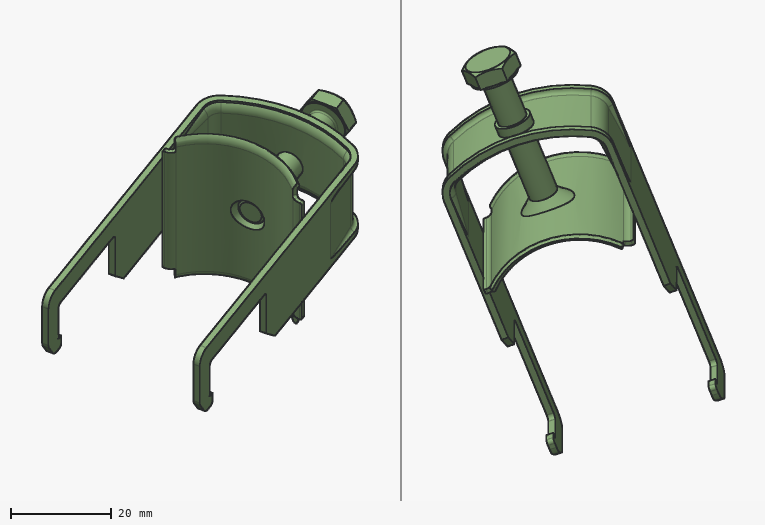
import cadquery as cq
import math


WIDTH = 36.0
SHEET = 1.5
STRIP = 20.0
STRIP_TOP = 12.8
STRIP_BOTTOM = STRIP_TOP - STRIP
STRIP_MIDDLE = STRIP_TOP - STRIP / 2
DOME_R = 33.6
CORNER_R = 5.3
LEG_END = -72.1

BEAD_DEPTH = 1.0
BEAD_LIP = 1.5
BEAD_END = -18.3
BEAD_HALF = STRIP / 2 - BEAD_LIP

SLOT_START = -44.65
SLOT_END = -67.9
SLOT_TOP = 7.7
SLOT_R = 1.0
HOOK_R = 2.8
HOOK_BOTTOM = -4.5
HOOK_SLANT_TOP = -0.5
HOOK_SLANT_ANGLE = 30
HOOK_TIP_R = 2.0
LIP_LENGTH = 1.1
LIP_TOP = -1.7
LIP_R = 0.9
LEG_CHAMFER = 3.5

BOLT_D = 6.0
HEAD_TOP = 15.1
HEAD_HEIGHT = 3.6
HEAD_FLATS = 9.9
HEAD_TOP_D = 9.5
HEAD_CONE_ANGLE = 30
WASHER_FACE_D = 10.0
WASHER_FACE_HEIGHT = 0.4
COLLAR_D = 7.5
COLLAR_TOP = 1.0
TIP_D = 5.0
TIP_Y = -18.7
TIP_TAPER = 0.3
NECK_R = 0.35

SADDLE_R = 18.0
SADDLE_SHEET = 1.0
SADDLE_Y = -19.5
SADDLE_ANGLE = 47.8
SADDLE_HALF = 19.23
SADDLE_AXIS_Y = SADDLE_Y - SADDLE_R
RIM_R = 2 * SADDLE_SHEET
RIM_ANGLE = 60
TAB_HALF = 16.0
TAB_REACH = 16.0
TAB_BEND_R = 1.8
PLATE_CORNER_R = 0.5
FLARE_TOP = -16.75
FLARE_SLOPE = 1.0
RECESS_D = 7.2

MARGIN = 4.4


def bridge_outline(inset, leg_y, leg_inset):
    """Open wire along the bridge, `inset` inside the outer face, with a leg down to `leg_y` each side."""
    corner_x = WIDTH / 2 - CORNER_R
    dome_y = -DOME_R
    corner_y = dome_y + math.sqrt((DOME_R - CORNER_R) ** 2 - corner_x ** 2)
    lean = math.asin(corner_x / (DOME_R - CORNER_R))
    bend = CORNER_R - inset
    turn = (lean + math.pi / 2) / 2
    side_x = WIDTH / 2 - inset
    bend_mid = (corner_x + bend * math.sin(turn), corner_y + bend * math.cos(turn))
    bend_top = (corner_x + bend * math.sin(lean), corner_y + bend * math.cos(lean))
    leg_x = WIDTH / 2 - leg_inset
    return (
        cq.Workplane("XY")
        .moveTo(-leg_x, leg_y)
        .lineTo(-side_x, corner_y)
        .threePointArc((-bend_mid[0], bend_mid[1]), (-bend_top[0], bend_top[1]))
        .threePointArc((0, -inset), bend_top)
        .threePointArc(bend_mid, (side_x, corner_y))
        .lineTo(leg_x, leg_y)
    )


def filled_bridge(inset):
    """Everything enclosed by the strip at `inset`, over the width of the strip."""
    outline = bridge_outline(inset, LEG_END, inset)
    return outline.close().extrude(STRIP).translate((0, 0, STRIP_BOTTOM))


def bead_form(face_inset, floor_r):
    """Tool outside the face of the bead that starts from the sheet face at `face_inset`."""
    half = BEAD_HALF - BEAD_DEPTH + floor_r
    far_x = WIDTH / 2 + MARGIN
    form = (
        bridge_outline(face_inset + BEAD_DEPTH, BEAD_END, face_inset)
        .lineTo(far_x, BEAD_END)
        .lineTo(far_x, MARGIN)
        .lineTo(-far_x, MARGIN)
        .lineTo(-far_x, BEAD_END)
        .close()
        .extrude(half, both=True)
    )
    near_x = WIDTH / 2 + 0.1
    floor_edges = cq.Workplane("XY")
    for side in (-half, half):
        picker = cq.selectors.BoxSelector(
            (-near_x, BEAD_END - 0.1, side - 0.1), (near_x, 0.1, side + 0.1), boundingbox=True
        )
        floor_edges = floor_edges.add(form.edges(picker))
    rounded = form.val().fillet(floor_r, floor_edges.vals())
    return cq.Workplane(rounded).translate((0, 0, STRIP_MIDDLE))


def leg_profile():
    """Side outline of the bracket, hooks included, as a block across the whole width."""
    slant = (HOOK_SLANT_TOP - HOOK_BOTTOM) * math.tan(math.radians(HOOK_SLANT_ANGLE))
    lip_y = SLOT_END + LIP_LENGTH
    hook_corner = (LEG_END, STRIP_TOP)
    slant_top = (LEG_END, HOOK_SLANT_TOP)
    slant_bottom = (LEG_END + slant, HOOK_BOTTOM)
    lip_corner = (lip_y, HOOK_BOTTOM)
    slot_outer = (SLOT_END, SLOT_TOP)
    slot_inner = (SLOT_START, SLOT_TOP)
    block = (
        cq.Workplane("YZ")
        .polyline([
            (MARGIN, STRIP_TOP),
            hook_corner,
            slant_top,
            slant_bottom,
            lip_corner,
            (lip_y, LIP_TOP),
            (SLOT_END, LIP_TOP),
            slot_outer,
            slot_inner,
            (SLOT_START, STRIP_BOTTOM + LEG_CHAMFER),
            (SLOT_START + LEG_CHAMFER, STRIP_BOTTOM),
            (MARGIN, STRIP_BOTTOM),
        ])
        .close()
        .extrude(WIDTH, both=True)
    )
    rounds = [
        (hook_corner, HOOK_R),
        (slant_top, HOOK_TIP_R),
        (slant_bottom, HOOK_TIP_R),
        (lip_corner, LIP_R),
        (slot_outer, SLOT_R),
        (slot_inner, SLOT_R),
    ]
    for (y, z), radius in rounds:
        block = block.edges(cq.selectors.NearestToPointSelector((0, y, z))).fillet(radius)
    return block


def cylinder_y(diameter, y_low, y_high):
    """Round bar on the bolt axis between two heights."""
    return cq.Workplane("XZ", origin=(0, y_high, 0)).circle(diameter / 2).extrude(y_high - y_low)


def make_bracket():
    envelope = filled_bridge(0)
    strip = envelope.cut(filled_bridge(SHEET))
    ridge = bead_form(SHEET, BEAD_DEPTH + SHEET).intersect(envelope)
    groove = bead_form(0, BEAD_DEPTH)
    bracket = strip.union(ridge).cut(groove).intersect(leg_profile())
    collar = cylinder_y(COLLAR_D, -BEAD_DEPTH - SHEET / 2, COLLAR_TOP)
    bore = cylinder_y(BOLT_D, -MARGIN, MARGIN)
    return bracket.union(collar).cut(bore)


def make_head_cone():
    """Cone that trims the top corners of the hexagon."""
    hex_bottom = HEAD_TOP - HEAD_HEIGHT
    bottom_r = HEAD_TOP_D / 2 + HEAD_HEIGHT / math.tan(math.radians(HEAD_CONE_ANGLE))
    return (
        cq.Workplane("XY")
        .polyline([(0, HEAD_TOP), (HEAD_TOP_D / 2, HEAD_TOP), (bottom_r, hex_bottom), (0, hex_bottom)])
        .close()
        .revolve(360, (0, 0, 0), (0, 1, 0))
    )


def make_bolt():
    hex_bottom = HEAD_TOP - HEAD_HEIGHT
    head = (
        cq.Workplane("XZ", origin=(0, HEAD_TOP, 0))
        .polygon(6, HEAD_FLATS, circumscribed=True)
        .extrude(HEAD_HEIGHT)
        .rotate((0, 0, 0), (0, 1, 0), 30)
    )
    neck_y = hex_bottom - WASHER_FACE_HEIGHT
    washer_face = cylinder_y(WASHER_FACE_D, neck_y, hex_bottom)
    shank = cylinder_y(BOLT_D, TIP_Y, hex_bottom)
    shank = shank.faces("<Y").chamfer(TIP_TAPER, (BOLT_D - TIP_D) / 2)
    bolt = head.intersect(make_head_cone()).union(washer_face).union(shank)
    neck = cq.selectors.BoxSelector(
        (-BOLT_D, neck_y - NECK_R / 2, -BOLT_D), (BOLT_D, neck_y + NECK_R / 2, BOLT_D), boundingbox=True
    )
    return bolt.edges(neck).edges(cq.selectors.RadiusNthSelector(0)).fillet(NECK_R)


def make_saddle_plate():
    """Curved plate whose two ends along Z are rolled outward."""
    roll_z = SADDLE_HALF - RIM_R * math.sin(math.radians(RIM_ANGLE))
    inner_roll = RIM_R - SADDLE_SHEET

    def roll_point(radius, degrees, side):
        angle = math.radians(degrees)
        across = SADDLE_R + RIM_R - radius * math.cos(angle)
        return (across, side * (roll_z + radius * math.sin(angle)))

    section = (
        cq.Workplane("XZ")
        .moveTo(*roll_point(RIM_R, 0, -1))
        .lineTo(*roll_point(RIM_R, 0, 1))
        .threePointArc(roll_point(RIM_R, RIM_ANGLE / 2, 1), roll_point(RIM_R, RIM_ANGLE, 1))
        .lineTo(*roll_point(inner_roll, RIM_ANGLE, 1))
        .threePointArc(roll_point(inner_roll, RIM_ANGLE / 2, 1), roll_point(inner_roll, 0, 1))
        .lineTo(*roll_point(inner_roll, 0, -1))
        .threePointArc(roll_point(inner_roll, RIM_ANGLE / 2, -1), roll_point(inner_roll, RIM_ANGLE, -1))
        .lineTo(*roll_point(RIM_R, RIM_ANGLE, -1))
        .threePointArc(roll_point(RIM_R, RIM_ANGLE / 2, -1), roll_point(RIM_R, 0, -1))
        .close()
    )
    plate = section.revolve(2 * SADDLE_ANGLE, (0, 0, 0), (0, 1, 0))
    return plate.rotate((0, 0, 0), (0, 0, 1), 90 - SADDLE_ANGLE).translate((0, SADDLE_AXIS_Y, 0))


def make_tab():
    """Tab on the +X end of the plate, bent level and widened by a round at its root."""
    angle = math.radians(SADDLE_ANGLE)
    outer_r = TAB_BEND_R + SADDLE_SHEET
    centre_r = SADDLE_R + outer_r
    centre_x = centre_r * math.sin(angle)
    centre_y = SADDLE_AXIS_Y + centre_r * math.cos(angle)

    def bend_point(radius, turn):
        return (centre_x - radius * math.sin(turn), centre_y - radius * math.cos(turn))

    section = (
        cq.Workplane("XY")
        .moveTo(*bend_point(outer_r, angle))
        .threePointArc(bend_point(outer_r, angle / 2), bend_point(outer_r, 0))
        .lineTo(TAB_REACH, centre_y - outer_r)
        .lineTo(TAB_REACH, centre_y - TAB_BEND_R)
        .lineTo(*bend_point(TAB_BEND_R, 0))
        .threePointArc(bend_point(TAB_BEND_R, angle / 2), bend_point(TAB_BEND_R, angle))
        .close()
    )
    sheet = section.extrude(SADDLE_HALF, both=True)
    root = bend_point(outer_r, angle)
    sheet_plane = cq.Plane(
        origin=(root[0], root[1], 0),
        xDir=(math.cos(angle), -math.sin(angle), 0),
        normal=(math.sin(angle), math.cos(angle), 0),
    )
    root_half = TAB_HALF + PLATE_CORNER_R
    blank = (
        cq.Workplane(sheet_plane)
        .moveTo(0, -root_half)
        .radiusArc((PLATE_CORNER_R, -TAB_HALF), PLATE_CORNER_R)
        .lineTo(MARGIN, -TAB_HALF)
        .lineTo(MARGIN, TAB_HALF)
        .lineTo(PLATE_CORNER_R, TAB_HALF)
        .radiusArc((0, root_half), PLATE_CORNER_R)
        .close()
        .extrude(MARGIN, both=True)
    )
    return sheet.intersect(blank)


def plate_corners():
    """Middles of the edges to round in the +X, +Z quarter: at the rim end and at the tab corner."""
    angle = math.radians(SADDLE_ANGLE)
    roll = math.radians(RIM_ANGLE)
    rim_across = SADDLE_R + RIM_R - (RIM_R - SADDLE_SHEET / 2) * math.cos(roll)
    rim_z = SADDLE_HALF - SADDLE_SHEET / 2 * math.sin(roll)
    rim_end = (rim_across * math.sin(angle), SADDLE_AXIS_Y + rim_across * math.cos(angle), rim_z)
    tab_mid_r = TAB_BEND_R + SADDLE_SHEET / 2
    bend_centre_r = SADDLE_R + SADDLE_SHEET + TAB_BEND_R
    tab_y = SADDLE_AXIS_Y + bend_centre_r * math.cos(angle) - tab_mid_r
    return [rim_end, (TAB_REACH, tab_y, TAB_HALF)]


def round_plate(plate):
    for x, y, z in plate_corners():
        for side in (-1, 1):
            for end in (-1, 1):
                corner = cq.selectors.NearestToPointSelector((side * x, y, end * z))
                plate = plate.edges(corner).fillet(PLATE_CORNER_R)
    return plate


def make_flare():
    """Cone that joins the bolt to the convex face of the plate."""
    depth = FLARE_TOP - SADDLE_Y
    top_r = BOLT_D / 2
    cone = (
        cq.Workplane("XY")
        .polyline([
            (0, FLARE_TOP),
            (top_r, FLARE_TOP),
            (top_r + FLARE_SLOPE * depth, SADDLE_Y),
            (0, SADDLE_Y),
        ])
        .close()
        .revolve(360, (0, 0, 0), (0, 1, 0))
    )
    hollow = cq.Workplane("XY").circle(SADDLE_R).extrude(SADDLE_HALF, both=True)
    return cone.cut(hollow.translate((0, SADDLE_AXIS_Y, 0)))


def make_recess():
    """Tapered recess in the concave face, down to the start of the bolt's tip chamfer."""
    floor_y = TIP_Y + TIP_TAPER
    floor_r = BOLT_D / 2
    slope = (RECESS_D / 2 - floor_r) / (floor_y - SADDLE_Y)
    low_y = SADDLE_Y - SADDLE_SHEET
    return (
        cq.Workplane("XY")
        .polyline([
            (0, floor_y),
            (floor_r, floor_y),
            (floor_r + slope * (floor_y - low_y), low_y),
            (0, low_y),
        ])
        .close()
        .revolve(360, (0, 0, 0), (0, 1, 0))
    )


def make_pressure_bolt():
    """Bolt and saddle, fixed together at the flare."""
    tab = make_tab()
    plate = make_saddle_plate().union(tab).union(tab.mirror("YZ"))
    saddle = round_plate(plate).union(make_flare()).cut(make_recess())
    return saddle.union(make_bolt())


bracket = make_bracket()
pressure_bolt = make_pressure_bolt()

result = cq.Compound.makeCompound([bracket.val(), pressure_bolt.val()])